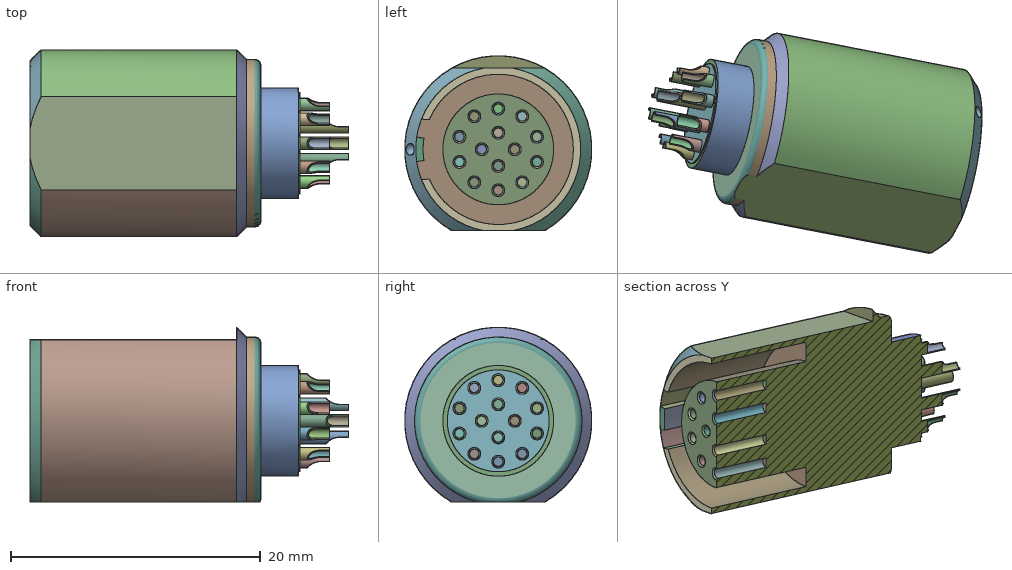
import cadquery as cq
import math


shell_radius = 7.5
across_flats = 13.0
mouth_chamfer = 0.9
mouth_radius = shell_radius - mouth_chamfer
barrel_end = 16.55
rear_taper = 0.8
lip_radius = shell_radius - rear_taper
shell_length = 18.5
lip_fillet = 0.48

bore_radius = 6.02
cavity_depth = 9.7
channel_half_width = 2.37
channel_wall_angle = 5.0
key_half_angle = 8.5
marker_radius = 0.45

insert_radius = 4.44
insert_start = 0.5
insert_end = 21.5
end_disc_radius = 4.08
end_disc_thickness = 0.1

total_length = 25.5
outer_ring = (10, 3.26, 24.0)
inner_ring = (4, 1.33, total_length)
pin_radius = 0.5
socket_radius = 0.38
socket_chamfer = 0.13
socket_depth = 5.1
cup_bore_radius = 0.38
cup_length = 1.8
cup_sweep_radius = 1.4


def disc(radius, start, end):
    """Solid cylinder on the X axis between two X positions."""
    return cq.Workplane("YZ").workplane(offset=start).circle(radius).extrude(end - start)


def make_shell():
    """Turned shell: chamfered mouth, barrel, tapered step down to the rear lip, rounded lip edge."""
    return (
        cq.Workplane("XY")
        .moveTo(0, 0)
        .lineTo(0, mouth_radius)
        .lineTo(mouth_chamfer, shell_radius)
        .lineTo(barrel_end, shell_radius)
        .lineTo(barrel_end + rear_taper, lip_radius)
        .lineTo(shell_length, lip_radius)
        .lineTo(shell_length, 0)
        .close()
        .revolve(360, (0, 0, 0), (1, 0, 0))
        .faces(">X")
        .edges()
        .fillet(lip_fillet)
    )


def cut_flats(shell):
    """The top flat leaves the rear flange standing; the bottom flat runs the full length."""
    width = 2 * shell_radius
    for side, length in ((1, barrel_end), (-1, shell_length)):
        block = cq.Workplane("XY").box(length, width, width, centered=(False, True, True))
        shell = shell.cut(block.translate((0, 0, side * (across_flats + width) / 2)))
    return shell


def make_cavity():
    """Bore plus side channel, leaving the key standing in the middle of the channel."""
    bore = disc(bore_radius, 0, cavity_depth)

    widening = math.tan(math.radians(channel_wall_angle))
    bore_edge = math.sqrt(bore_radius**2 - channel_half_width**2)
    half_width_at_axis = channel_half_width - widening * bore_edge
    half_width_outside = half_width_at_axis + widening * shell_radius
    channel = (
        cq.Workplane("YZ")
        .polyline(
            [
                (0, -half_width_at_axis),
                (shell_radius, -half_width_outside),
                (shell_radius, half_width_outside),
                (0, half_width_at_axis),
            ]
        )
        .close()
        .extrude(cavity_depth)
        .intersect(disc(mouth_radius, 0, cavity_depth))
    )

    key_half_width = shell_radius * math.tan(math.radians(key_half_angle))
    key = (
        cq.Workplane("YZ")
        .polyline([(0, 0), (shell_radius, -key_half_width), (shell_radius, key_half_width)])
        .close()
        .extrude(cavity_depth)
    )
    return channel.cut(key).union(bore)


def make_marker():
    middle = mouth_chamfer / 2
    return cq.Workplane("XY").sphere(marker_radius).translate((middle, shell_radius - middle, 0))


def make_insert():
    """Insert body with a thin disc on its rear end."""
    disc_end = insert_end + end_disc_thickness
    return (
        cq.Workplane("XZ")
        .moveTo(insert_start, 0)
        .lineTo(insert_start, insert_radius)
        .lineTo(insert_end, insert_radius)
        .lineTo(insert_end, end_disc_radius)
        .lineTo(disc_end, end_disc_radius)
        .lineTo(disc_end, 0)
        .close()
        .revolve(360, (0, 0, 0), (1, 0, 0))
    )


def make_solder_pin(end):
    """Pin on the X axis, cut down to half its section over the cup, with the opening facing +Z."""
    cup_start = end - cup_length
    sweep_run = math.sqrt(cup_sweep_radius**2 - (cup_sweep_radius - pin_radius) ** 2)
    half_angle = math.asin(sweep_run / cup_sweep_radius) / 2
    arc_middle = (
        cup_start + sweep_run - cup_sweep_radius * math.sin(half_angle),
        cup_sweep_radius * (1 - math.cos(half_angle)),
    )
    opening = (
        cq.Workplane("XZ")
        .moveTo(cup_start, pin_radius)
        .threePointArc(arc_middle, (cup_start + sweep_run, 0))
        .lineTo(end, 0)
        .lineTo(end, pin_radius)
        .close()
        .extrude(pin_radius, both=True)
    )
    pin = disc(pin_radius, insert_end, end)
    return pin.cut(opening).cut(disc(cup_bore_radius, cup_start, end))


def make_socket():
    """Contact hole on the X axis with a countersunk mouth."""
    mouth = socket_radius + socket_chamfer
    return (
        cq.Workplane("XZ")
        .moveTo(insert_start, 0)
        .lineTo(insert_start, mouth)
        .lineTo(insert_start + socket_chamfer, socket_radius)
        .lineTo(insert_start + socket_depth, socket_radius)
        .lineTo(insert_start + socket_depth, 0)
        .close()
        .revolve(360, (0, 0, 0), (1, 0, 0))
    )


def place_in_ring(item, count, circle_radius):
    """Copies of an item about the X axis, the first one at the top."""
    raised = item.translate((0, 0, circle_radius))
    return [raised.rotate((0, 0, 0), (1, 0, 0), 360 * i / count) for i in range(count)]


result = cut_flats(make_shell()).cut(make_cavity()).cut(make_marker()).union(make_insert())
for count, circle_radius, cup_end in (outer_ring, inner_ring):
    for pin in place_in_ring(make_solder_pin(cup_end), count, circle_radius):
        result = result.union(pin)
    for socket in place_in_ring(make_socket(), count, circle_radius):
        result = result.cut(socket)